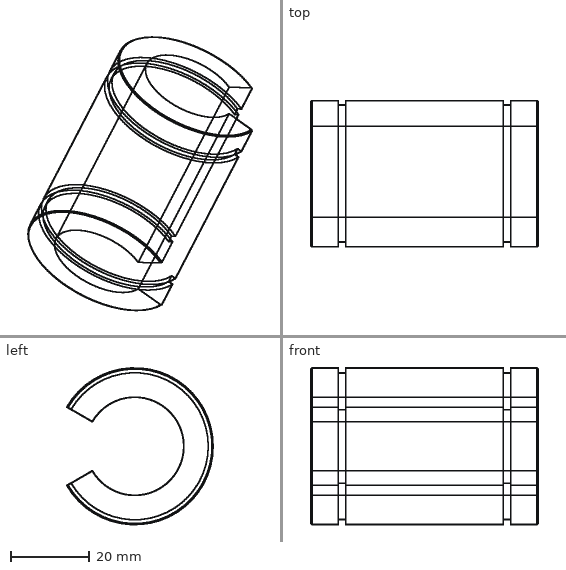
import cadquery as cq
import math

length = 58.0
outer_diameter = 40.0
bore_diameter = 25.0
opening_angle = 60.0
end_chamfer = 0.3

groove_diameter = 37.5
groove_width = 1.85
groove_span = 43.95

outer_radius = outer_diameter / 2


def ring(start_x, width, outside, inside):
    """Tube along X starting at start_x."""
    return (
        cq.Workplane("YZ", origin=(start_x, 0, 0))
        .circle(outside / 2)
        .circle(inside / 2)
        .extrude(width)
    )


def opening():
    """Wedge with its tip on the axis, so both opening walls are radial."""
    reach = outer_diameter
    half_height = reach * math.tan(math.radians(opening_angle / 2))
    return (
        cq.Workplane("YZ", origin=(-length / 2, 0, 0))
        .polyline([(0, 0), (reach, -half_height), (reach, half_height)])
        .close()
        .extrude(length)
    )


sleeve = (
    cq.Workplane("YZ", origin=(-length / 2, 0, 0))
    .circle(outer_radius)
    .extrude(length)
    .faces("<X or >X")
    .chamfer(end_chamfer)
)
bore = (
    cq.Workplane("YZ", origin=(-length / 2, 0, 0))
    .circle(bore_diameter / 2)
    .extrude(length)
)
body = sleeve.cut(bore)

for groove_start in (-groove_span / 2, groove_span / 2 - groove_width):
    body = body.cut(ring(groove_start, groove_width, outer_diameter, groove_diameter))

result = body.cut(opening())